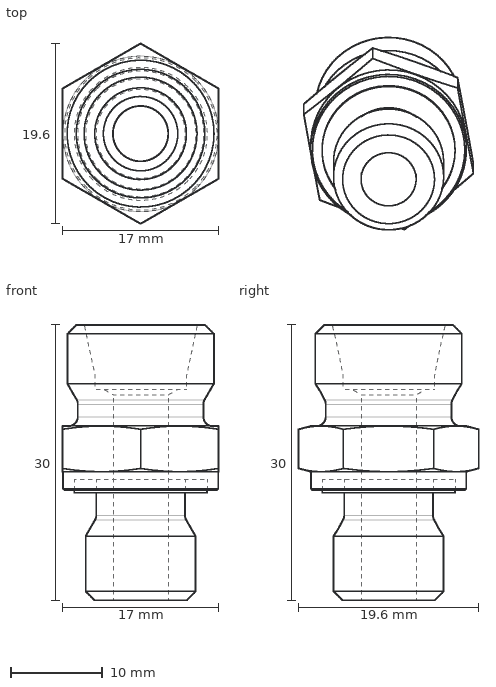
import cadquery as cq
import math

TOTAL_HEIGHT = 30.0
EDGE_CHAMFER = 1.0
RELIEF_RADIUS = 1.0
RUNOUT_ANGLE = math.radians(30)

STUD_RADIUS = 12.0 / 2
STUD_NECK_RADIUS = 9.7 / 2
STUD_LENGTH = 7.0

FLANGE_RADIUS = 16.95 / 2
FLANGE_BOTTOM = 12.0
FLANGE_CHAMFER = 0.18
HEX_BOTTOM = 14.0
HEX_TOP = 19.0
HEX_ACROSS_FLATS = 17.0
HEX_CORNER_RADIUS = HEX_ACROSS_FLATS / math.sqrt(3)
HEX_CHAMFER_ANGLE = math.radians(15)
SEAL_RADIUS = 14.5 / 2
SEAL_THICKNESS = 1.5
SEAL_BOTTOM = 11.7
SEAL_TOP = SEAL_BOTTOM + SEAL_THICKNESS

HEAD_RADIUS = 16.0 / 2
HEAD_NECK_RADIUS = 13.7 / 2
HEAD_BOTTOM = 23.6

SOCKET_MOUTH_RADIUS = 12.3 / 2
SOCKET_RADIUS = 10.0 / 2
SOCKET_DEPTH = 7.0
SOCKET_HALF_ANGLE = math.radians(12)
BORE_RADIUS = 6.0 / 2
COUNTERSINK_RADIUS = 8.1 / 2
COUNTERSINK_HALF_ANGLE = math.radians(60)


def runout_points(neck_radius, thread_radius, thread_z, neck_direction):
    """Return cone end, fillet middle and fillet end, going from thread to neck."""
    cone_end_radius = neck_radius + RELIEF_RADIUS * (1 - math.cos(RUNOUT_ANGLE))
    cone_height = (thread_radius - cone_end_radius) / math.tan(RUNOUT_ANGLE)
    fillet_height = RELIEF_RADIUS * math.sin(RUNOUT_ANGLE)
    half_angle = RUNOUT_ANGLE / 2
    middle_radius = neck_radius + RELIEF_RADIUS * (1 - math.cos(half_angle))
    middle_height = fillet_height - RELIEF_RADIUS * math.sin(half_angle)
    cone_end_z = thread_z + neck_direction * cone_height
    return (
        (cone_end_radius, cone_end_z),
        (middle_radius, cone_end_z + neck_direction * middle_height),
        (neck_radius, cone_end_z + neck_direction * fillet_height),
    )


def make_turned_body():
    """Revolve the solid outer shape of the stud, flange and head, without the hexagon."""
    stud_runout = runout_points(STUD_NECK_RADIUS, STUD_RADIUS, STUD_LENGTH, 1)
    head_runout = runout_points(HEAD_NECK_RADIUS, HEAD_RADIUS, HEAD_BOTTOM, -1)
    fillet_middle_offset = RELIEF_RADIUS * (1 - math.sqrt(0.5))
    profile = (
        cq.Workplane("XZ")
        .moveTo(0, 0)
        .lineTo(STUD_RADIUS - EDGE_CHAMFER, 0)
        .lineTo(STUD_RADIUS, EDGE_CHAMFER)
        .lineTo(STUD_RADIUS, STUD_LENGTH)
        .lineTo(*stud_runout[0])
        .threePointArc(stud_runout[1], stud_runout[2])
        .lineTo(STUD_NECK_RADIUS, FLANGE_BOTTOM)
        .lineTo(FLANGE_RADIUS - FLANGE_CHAMFER, FLANGE_BOTTOM)
        .lineTo(FLANGE_RADIUS, FLANGE_BOTTOM + FLANGE_CHAMFER)
        .lineTo(FLANGE_RADIUS, HEX_TOP)
        .lineTo(HEAD_NECK_RADIUS + RELIEF_RADIUS, HEX_TOP)
        .threePointArc(
            (HEAD_NECK_RADIUS + fillet_middle_offset, HEX_TOP + fillet_middle_offset),
            (HEAD_NECK_RADIUS, HEX_TOP + RELIEF_RADIUS),
        )
        .lineTo(*head_runout[2])
        .threePointArc(head_runout[1], head_runout[0])
        .lineTo(HEAD_RADIUS, HEAD_BOTTOM)
        .lineTo(HEAD_RADIUS, TOTAL_HEIGHT - EDGE_CHAMFER)
        .lineTo(HEAD_RADIUS - EDGE_CHAMFER, TOTAL_HEIGHT)
        .lineTo(0, TOTAL_HEIGHT)
        .close()
    )
    return profile.revolve(360, (0, 0), (0, 1))


def make_hexagon():
    """Make the wrench hexagon, corners on Y, with conical chamfers above and below."""
    prism = (
        cq.Workplane("XY", origin=(0, 0, HEX_BOTTOM))
        .polygon(6, 2 * HEX_CORNER_RADIUS)
        .extrude(HEX_TOP - HEX_BOTTOM)
        .rotate((0, 0, 0), (0, 0, 1), 30)
    )
    corner_drop = (HEX_CORNER_RADIUS - FLANGE_RADIUS) * math.tan(HEX_CHAMFER_ANGLE)
    chamfer_envelope = (
        cq.Workplane("XZ")
        .moveTo(0, HEX_BOTTOM)
        .lineTo(FLANGE_RADIUS, HEX_BOTTOM)
        .lineTo(HEX_CORNER_RADIUS, HEX_BOTTOM + corner_drop)
        .lineTo(HEX_CORNER_RADIUS, HEX_TOP - corner_drop)
        .lineTo(FLANGE_RADIUS, HEX_TOP)
        .lineTo(0, HEX_TOP)
        .close()
        .revolve(360, (0, 0), (0, 1))
    )
    return prism.intersect(chamfer_envelope)


def make_passage():
    """Make the cutter for the tapered tube socket, countersink and through bore."""
    cone_depth = (SOCKET_MOUTH_RADIUS - SOCKET_RADIUS) / math.tan(SOCKET_HALF_ANGLE)
    socket_floor = TOTAL_HEIGHT - SOCKET_DEPTH
    countersink_depth = (COUNTERSINK_RADIUS - BORE_RADIUS) / math.tan(COUNTERSINK_HALF_ANGLE)
    return (
        cq.Workplane("XZ")
        .moveTo(0, 0)
        .lineTo(BORE_RADIUS, 0)
        .lineTo(BORE_RADIUS, socket_floor - countersink_depth)
        .lineTo(COUNTERSINK_RADIUS, socket_floor)
        .lineTo(SOCKET_RADIUS, socket_floor)
        .lineTo(SOCKET_RADIUS, TOTAL_HEIGHT - cone_depth)
        .lineTo(SOCKET_MOUTH_RADIUS, TOTAL_HEIGHT)
        .lineTo(0, TOTAL_HEIGHT)
        .close()
        .revolve(360, (0, 0), (0, 1))
    )


def make_seal():
    """Make the flat sealing ring that fits around the stud neck."""
    return (
        cq.Workplane("XY", origin=(0, 0, SEAL_BOTTOM))
        .circle(SEAL_RADIUS)
        .circle(STUD_NECK_RADIUS)
        .extrude(SEAL_THICKNESS)
    )


def make_fitting():
    """Make the fitting body with its passage and the seal recess in the flange."""
    seal_recess = (
        cq.Workplane("XY", origin=(0, 0, FLANGE_BOTTOM))
        .circle(SEAL_RADIUS)
        .circle(STUD_NECK_RADIUS)
        .extrude(SEAL_TOP - FLANGE_BOTTOM)
    )
    return make_turned_body().union(make_hexagon()).cut(make_passage()).cut(seal_recess)


fitting = make_fitting()
seal = make_seal()

result = cq.Compound.makeCompound([fitting.solids().val(), seal.val()])